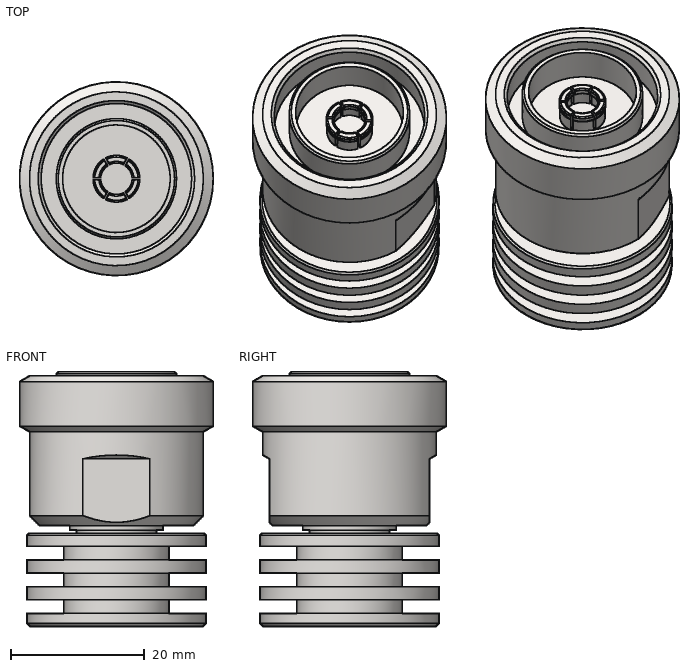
import cadquery as cq
import math

TOTAL_HEIGHT = 38.13

FIN_RADIUS = 13.4
FIN_THICKNESS = 2.0
FIN_PITCH = 4.0
FIN_COUNT = 4
CORE_RADIUS = 7.9
BASE_CHAMFER = 0.5
TOP_FIN_CHAMFER = 0.3
BASE_TOP = (FIN_COUNT - 1) * FIN_PITCH + FIN_THICKNESS

NECK_RADIUS = 6.0
WASHER_RADIUS = 7.0
WASHER_THICKNESS = 0.65

SLEEVE_BOTTOM = 15.1
SLEEVE_RADIUS = 13.0
SLEEVE_CHAMFER = 1.5
COLLAR_RADIUS = 14.5
COLLAR_BOTTOM = 29.13
COLLAR_TOP = 37.53
CHAMFER_ANGLE = math.radians(30)
COLLAR_CHAMFER_HEIGHT = (COLLAR_RADIUS - SLEEVE_RADIUS) * math.tan(CHAMFER_ANGLE)

FLAT_DISTANCE = 12.0
FLAT_TOP = SLEEVE_BOTTOM + 10.0

SOCKET_RADIUS = 11.25
SOCKET_MOUTH_RADIUS = 11.7
SOCKET_CHAMFER = SOCKET_MOUTH_RADIUS - SOCKET_RADIUS
FLOOR_Z = 32.83

RING_OUTER_RADIUS = 9.0
RING_INNER_RADIUS = 8.05
RING_CHAMFER = 0.3

CONTACT_TOP = 36.1
LIP_OUTER_RADIUS = 3.5
LIP_INNER_RADIUS = 2.35
LIP_CHAMFER_WIDTH = 0.25
LIP_CHAMFER_HEIGHT = LIP_CHAMFER_WIDTH * math.tan(CHAMFER_ANGLE)
LIP_HEIGHT = 0.85
STEM_OUTER_RADIUS = 3.4
STEM_INNER_RADIUS = 2.75
SLOT_WIDTH = 0.35
SLOT_COUNT = 6


def cylinder(radius, bottom, top):
    return cq.Workplane("XY").workplane(offset=bottom).circle(radius).extrude(top - bottom)


def revolve_profile(points):
    """Turn a closed (radius, height) outline about the Z axis."""
    return cq.Workplane("XZ").polyline(points).close().revolve(360, (0, 0), (0, 1))


def make_base():
    base = cylinder(CORE_RADIUS, 0, BASE_TOP)
    for index in range(FIN_COUNT):
        bottom = index * FIN_PITCH
        fin = cylinder(FIN_RADIUS, bottom, bottom + FIN_THICKNESS)
        if index == 0:
            fin = fin.faces("<Z").chamfer(BASE_CHAMFER)
        if index == FIN_COUNT - 1:
            fin = fin.faces(">Z").chamfer(TOP_FIN_CHAMFER)
        base = base.union(fin)
    return base


def make_neck():
    neck = cylinder(NECK_RADIUS, BASE_TOP, SLEEVE_BOTTOM)
    washer = cylinder(WASHER_RADIUS, SLEEVE_BOTTOM - WASHER_THICKNESS, SLEEVE_BOTTOM)
    return neck.union(washer)


def make_nut():
    """Turned coupling nut, closed below the socket floor."""
    profile = [
        (0, SLEEVE_BOTTOM),
        (SLEEVE_RADIUS - SLEEVE_CHAMFER, SLEEVE_BOTTOM),
        (SLEEVE_RADIUS, SLEEVE_BOTTOM + SLEEVE_CHAMFER),
        (SLEEVE_RADIUS, COLLAR_BOTTOM),
        (COLLAR_RADIUS, COLLAR_BOTTOM + COLLAR_CHAMFER_HEIGHT),
        (COLLAR_RADIUS, COLLAR_TOP - COLLAR_CHAMFER_HEIGHT),
        (SLEEVE_RADIUS, COLLAR_TOP),
        (SOCKET_MOUTH_RADIUS, COLLAR_TOP),
        (SOCKET_RADIUS, COLLAR_TOP - SOCKET_CHAMFER),
        (SOCKET_RADIUS, FLOOR_Z),
        (0, FLOOR_Z),
    ]
    return revolve_profile(profile)


def make_flat_cutter():
    """Cutter for the -Y and +Y wrench flats, each with a sloped upper end."""
    depth = SLEEVE_RADIUS - FLAT_DISTANCE
    profile = [
        (FLAT_DISTANCE, SLEEVE_BOTTOM),
        (SLEEVE_RADIUS, SLEEVE_BOTTOM),
        (SLEEVE_RADIUS, FLAT_TOP + depth * math.tan(CHAMFER_ANGLE)),
        (FLAT_DISTANCE, FLAT_TOP),
    ]
    flat = cq.Workplane("YZ").polyline(profile).close().extrude(SLEEVE_RADIUS, both=True)
    return flat.union(flat.mirror("XZ"))


def make_ring():
    ring = cylinder(RING_OUTER_RADIUS, FLOOR_Z, TOTAL_HEIGHT).faces(">Z").chamfer(RING_CHAMFER)
    return ring.cut(cylinder(RING_INNER_RADIUS, FLOOR_Z, TOTAL_HEIGHT))


def make_contact():
    """Slotted socket whose chamfered lip is thicker than its stem."""
    lip_bottom = CONTACT_TOP - LIP_HEIGHT
    chamfer_bottom = CONTACT_TOP - LIP_CHAMFER_HEIGHT
    profile = [
        (STEM_INNER_RADIUS, FLOOR_Z),
        (STEM_OUTER_RADIUS, FLOOR_Z),
        (STEM_OUTER_RADIUS, lip_bottom),
        (LIP_OUTER_RADIUS, lip_bottom),
        (LIP_OUTER_RADIUS, chamfer_bottom),
        (LIP_OUTER_RADIUS - LIP_CHAMFER_WIDTH, CONTACT_TOP),
        (LIP_INNER_RADIUS + LIP_CHAMFER_WIDTH, CONTACT_TOP),
        (LIP_INNER_RADIUS, chamfer_bottom),
        (LIP_INNER_RADIUS, lip_bottom),
        (STEM_INNER_RADIUS, lip_bottom),
    ]
    contact = revolve_profile(profile)
    slot_height = CONTACT_TOP - FLOOR_Z
    for index in range(SLOT_COUNT // 2):
        slot = cq.Workplane("XY").workplane(offset=FLOOR_Z).rect(2 * RING_INNER_RADIUS, SLOT_WIDTH)
        slot = slot.extrude(slot_height).rotate((0, 0, 0), (0, 0, 1), index * 360 / SLOT_COUNT)
        contact = contact.cut(slot)
    return contact


nut = make_nut().cut(make_flat_cutter())
result = make_base().union(make_neck()).union(nut).union(make_ring()).union(make_contact())